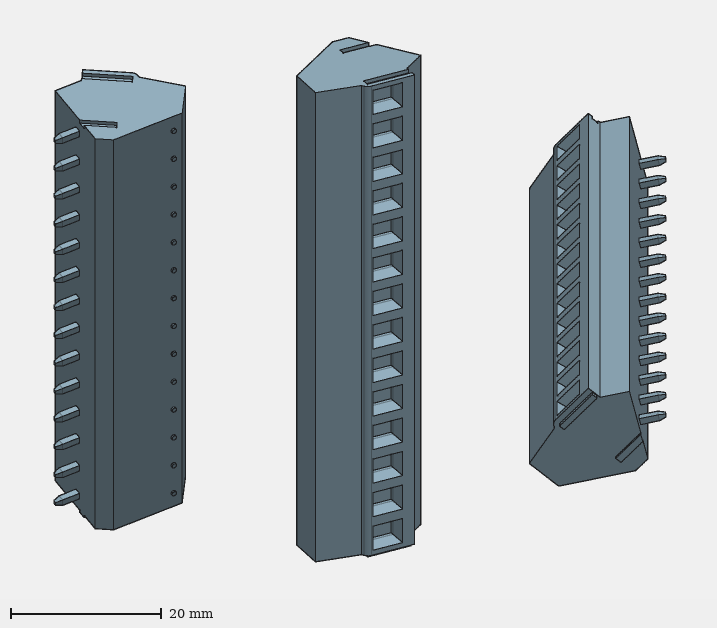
import cadquery as cq
import math

pole_count = 14
pitch = 5.08
body_length = pole_count * pitch

half_width = 6.06
body_depth = 15.5
apex_x = 1.75
shoulder_y = 12.5
chamfer_width = 1.4
chamfer_height = 2.0
shelf_y = 11.0
shelf_end_x = -2.8

tilt = math.radians(55)
entry_corner_x = -7.79
entry_corner_y = 5.2
entry_round = 1.1

port_start = 1.8
port_length = 4.45
port_height = 3.65
funnel_depth = 1.8
socket_depth = 0.5
funnel_taper = 0.5

groove_depth = 0.55
entry_key_offset = 0.7
entry_key_width = 1.05
entry_key_length = 6.75
entry_rib_height = 0.6
entry_rib_clearance = 0.1
mount_key_x = 0.5
mount_key_width = 0.95
mount_key_length = 5.0
mount_rib_height = 0.4

pin_width = 0.95
pin_height = 1.0
pin_length = 3.53
pin_tip_length = 0.95
pin_tip_ratio = 0.5
pin_root = 1.0

stud_y = 11.15
stud_diameter = 0.7
stud_projection = 0.26

pole_heights = [(i + 0.5) * pitch for i in range(pole_count)]


def entry_point(along, inward):
    """XY position measured along the inclined entry face and inward from it."""
    x = entry_corner_x + along * math.cos(tilt) + inward * math.sin(tilt)
    y = entry_corner_y + along * math.sin(tilt) - inward * math.cos(tilt)
    return x, y


def make_body():
    """Extrude the body profile, wire-entry ledge included."""
    ledge_depth = (-half_width - entry_corner_x) / math.sin(tilt)
    entry_length = (shelf_y - entry_corner_y) / math.sin(tilt)
    entry_top = entry_point(entry_length, 0)
    outline = [
        (-half_width, 0),
        (half_width - chamfer_width, 0),
        (half_width, chamfer_height),
        (half_width, shoulder_y),
        (apex_x, body_depth),
        (shelf_end_x, shelf_y),
        entry_top,
        entry_point(0, 0),
        entry_point(0, ledge_depth),
    ]
    body = cq.Workplane("XY").polyline(outline).close().extrude(body_length)
    entry_edge = cq.NearestToPointSelector((*entry_top, body_length / 2))
    return body.edges(entry_edge).fillet(entry_round)


def make_port(z):
    """Wire port opening on the entry face: a funnel with a straight socket below it."""
    face = cq.Plane(
        origin=(*entry_point(port_start + port_length / 2, 0), z),
        xDir=(math.cos(tilt), math.sin(tilt), 0),
        normal=(math.sin(tilt), -math.cos(tilt), 0),
    )
    socket_length = port_length - 2 * funnel_taper
    socket_height = port_height - 2 * funnel_taper
    funnel = (
        cq.Workplane(face)
        .rect(port_length, port_height)
        .workplane(offset=funnel_depth)
        .rect(socket_length, socket_height)
        .loft(ruled=True)
    )
    socket = (
        cq.Workplane(face)
        .workplane(offset=funnel_depth)
        .rect(socket_length, socket_height)
        .extrude(socket_depth)
    )
    return funnel.union(socket)


def make_entry_key(z, height, clearance=0):
    """Bar parallel to the entry face, starting at the lower side of its ledge."""
    outer = entry_key_offset + clearance
    inner = entry_key_offset + entry_key_width - clearance
    upper_end = entry_key_length - clearance
    corners = [
        entry_point(clearance, outer),
        entry_point(upper_end, outer),
        entry_point(upper_end, inner),
        entry_point(clearance, inner),
    ]
    return cq.Workplane("XY").workplane(offset=z).polyline(corners).close().extrude(height)


def make_mount_key(z, height):
    """Bar parallel to the entry face, cut off flush with the mounting face."""
    far_x = mount_key_x + mount_key_length * math.cos(tilt)
    far_y = mount_key_length * math.sin(tilt)
    corners = [
        (mount_key_x, 0),
        (far_x, far_y),
        (far_x + mount_key_width * math.sin(tilt), far_y - mount_key_width * math.cos(tilt)),
        (mount_key_x + mount_key_width / math.sin(tilt), 0),
    ]
    return cq.Workplane("XY").workplane(offset=z).polyline(corners).close().extrude(height)


def make_pin(z):
    """Rectangular pin with a tapered tip, rooted inside the body."""
    tip_start = pin_length - pin_tip_length
    shank = (
        cq.Workplane("XZ", origin=(0, pin_root, z))
        .rect(pin_width, pin_height)
        .extrude(pin_root + tip_start)
    )
    tip = (
        cq.Workplane("XZ", origin=(0, -tip_start, z))
        .rect(pin_width, pin_height)
        .workplane(offset=pin_tip_length)
        .rect(pin_width * pin_tip_ratio, pin_height * pin_tip_ratio)
        .loft(ruled=True)
    )
    return shank.union(tip)


def make_stud(z):
    """Round stud standing out from the +X face."""
    plane = cq.Workplane("YZ", origin=(half_width, stud_y, z))
    return plane.circle(stud_diameter / 2).extrude(stud_projection)


result = make_body()

groove_floor = body_length - groove_depth
result = result.cut(make_entry_key(groove_floor, groove_depth))
result = result.cut(make_mount_key(groove_floor, groove_depth))
result = result.union(make_entry_key(-entry_rib_height, entry_rib_height, entry_rib_clearance))
result = result.union(make_mount_key(-mount_rib_height, mount_rib_height))

for pole_z in pole_heights:
    result = result.cut(make_port(pole_z))
    result = result.union(make_pin(pole_z))
    result = result.union(make_stud(pole_z))